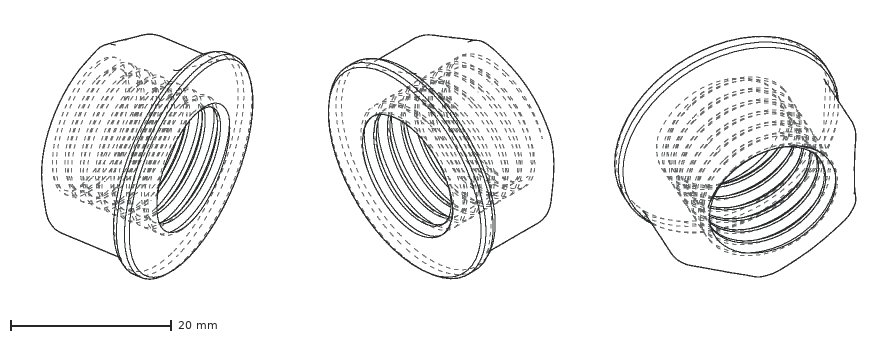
import cadquery as cq
import math

total_length = 15.59
flange_radius = 15.0
cone_angle = math.radians(30)
cone_slope = math.tan(cone_angle)

corner_count = 6
corner_radius = 13.97
corner_end_round = 2.8
flank_middle_radius = 11.75
flank_hollow_radius = 19.2
flank_edge_round = 2.0

rim_bevel_length = 0.63
rim_bevel_height = 0.34
flange_cone_angle = math.radians(33)
rim_front = 13.98
rear_chamfer = 0.43
body_to_flange_round = 1.0

bore_radius = 16.04 / 2
thread_root_radius = 18.2 / 2
thread_pitch = 2.25
thread_start_angle = 82
thread_flank_angle = math.radians(30)
thread_root_width = thread_pitch / 4
thread_overlap = 0.2
thread_lead_turns = 1.5

lip_outer_radius = 10.45
lip_round = 1.0
countersink_angle = math.radians(45)


def revolve_about_axis(profile):
    """Close an (X, radius) profile and turn it about the X axis."""
    return profile.close().revolve(360, (0, 0, 0), (1, 0, 0))


def body():
    """Round blank with a coned, rounded end, hollowed by six flanks."""
    turn = math.pi / 2 - cone_angle
    cone_end_radius = corner_radius - corner_end_round * (1 - math.cos(turn))
    cone_apex = lip_round * (1 - math.cos(cone_angle)) - lip_outer_radius * cone_slope
    cone_end = cone_apex + cone_end_radius * cone_slope
    land_start = cone_end + corner_end_round * math.sin(turn)
    round_middle = (
        land_start - corner_end_round * math.sin(turn / 2),
        corner_radius - corner_end_round * (1 - math.cos(turn / 2)),
    )
    blank = revolve_about_axis(
        cq.Workplane("XY")
        .moveTo(cone_apex, 0)
        .lineTo(cone_end, cone_end_radius)
        .threePointArc(round_middle, (land_start, corner_radius))
        .lineTo(rim_front, corner_radius)
        .lineTo(rim_front, 0)
    )
    hollows = (
        cq.Workplane("YZ", origin=(cone_apex, 0, 0))
        .polarArray(flank_middle_radius + flank_hollow_radius, 0, 360, corner_count)
        .circle(flank_hollow_radius)
        .extrude(total_length - cone_apex, combine=False)
    )
    for hollow in hollows.solids().vals():
        blank = blank.cut(cq.Workplane(hollow))
    past_seam = cq.selectors.BoxSelector(
        (0, -flange_radius, -flange_radius), (rim_front, flange_radius, flange_radius)
    )
    return blank.edges("not %CIRCLE").edges(past_seam).fillet(flank_edge_round)


def flange_cone_x(radius):
    """X of the flange cone at a given radius."""
    bevel_radius = flange_radius - rim_bevel_height
    return rim_front - rim_bevel_length - (bevel_radius - radius) * math.tan(flange_cone_angle)


def flange():
    """Coned flange with a bevel on the front of its rim and a chamfer on the rear."""
    return revolve_about_axis(
        cq.Workplane("XY")
        .moveTo(flange_cone_x(0), 0)
        .lineTo(rim_front - rim_bevel_length, flange_radius - rim_bevel_height)
        .lineTo(rim_front, flange_radius)
        .lineTo(total_length - rear_chamfer, flange_radius)
        .lineTo(total_length, flange_radius - rear_chamfer)
        .lineTo(total_length, 0)
    )


def bore():
    """Cutter for the bore, the countersink and the rounded lip."""
    crown_radius = lip_outer_radius - lip_round * math.sin(cone_angle)
    lip_outer = (lip_round * (1 - math.cos(cone_angle)), lip_outer_radius)
    lip_inner = (
        lip_round * (1 - math.cos(countersink_angle)),
        crown_radius - lip_round * math.sin(countersink_angle),
    )
    bore_start = lip_inner[0] + (lip_inner[1] - bore_radius) / math.tan(countersink_angle)
    outside = lip_outer[0] - lip_outer_radius * cone_slope
    return revolve_about_axis(
        cq.Workplane("XY")
        .moveTo(outside, 0)
        .lineTo(outside, lip_outer_radius)
        .lineTo(*lip_outer)
        .threePointArc((0, crown_radius), lip_inner)
        .lineTo(bore_start, bore_radius)
        .lineTo(total_length, bore_radius)
        .lineTo(total_length, 0)
    )


def thread_turn(start):
    """One turn of a V groove with a flat root, starting at the given X."""
    mouth_radius = bore_radius - thread_overlap
    root_half = thread_root_width / 2
    mouth_half = root_half + (thread_root_radius - mouth_radius) * math.tan(thread_flank_angle)
    corners = [
        (-mouth_half, mouth_radius),
        (-root_half, thread_root_radius),
        (root_half, thread_root_radius),
        (mouth_half, mouth_radius),
    ]
    axis = cq.Vector(1, 0, 0)
    helices = [
        cq.Wire.makeHelix(thread_pitch, thread_pitch, radius, cq.Vector(start + shift, 0, 0), axis)
        for shift, radius in corners
    ]
    sides = [cq.Face.makeRuledSurface(helices[i - 1], helices[i]) for i in range(len(helices))]
    first_section = cq.Wire.makePolygon([helix.startPoint() for helix in helices], close=True)
    last_section = cq.Wire.makePolygon([helix.endPoint() for helix in helices], close=True)
    caps = [cq.Face.makeFromWires(first_section), cq.Face.makeFromWires(last_section)]
    turn = cq.Solid.makeSolid(cq.Shell.makeShell(sides + caps))
    return cq.Workplane(turn).rotate((0, 0, 0), (1, 0, 0), thread_start_angle)


def threaded_bore():
    """Bore cutter with enough thread turns to run out past both ends."""
    cutter = bore()
    turn_count = math.ceil(total_length / thread_pitch) + 2
    for turn in range(turn_count):
        cutter = cutter.union(thread_turn((turn - thread_lead_turns) * thread_pitch))
    return cutter


def round_body_into_flange(nut):
    """Hollow round along the line where the wrench body meets the flange cone."""
    meeting_start = flange_cone_x(flank_middle_radius)
    meeting = cq.selectors.BoxSelector(
        (meeting_start, -flange_radius, -flange_radius), (rim_front, flange_radius, flange_radius)
    )
    return nut.edges("%BSPLINE").edges(meeting).fillet(body_to_flange_round)


result = round_body_into_flange(body().union(flange())).cut(threaded_bore())